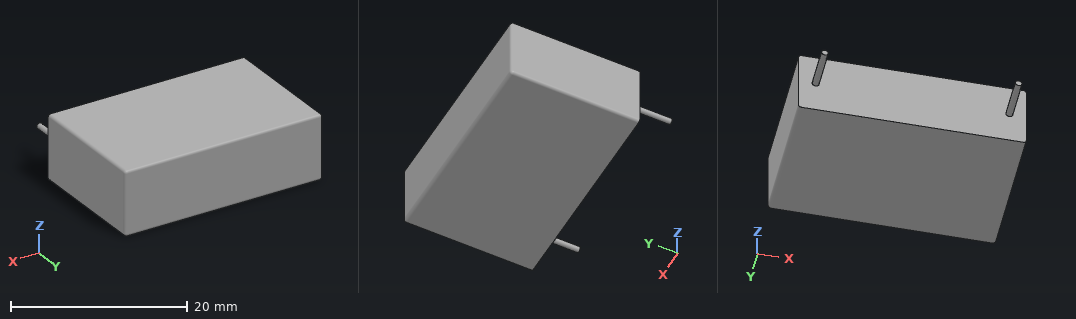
import cadquery as cq

housing_width = 26.5
housing_depth = 16.5
housing_height = 8.5
edge_radius = 0.4

overall_depth = 21.5
lead_length = overall_depth - housing_depth
lead_diameter = 0.8
lead_pitch = 22.5


def make_housing():
    """Box centred on X and Z, front face on Y = 0; all edges rounded except those of the front face."""
    box = cq.Workplane("XY").box(
        housing_width, housing_depth, housing_height, centered=(True, False, True)
    )
    return box.edges("not <Y").fillet(edge_radius)


def make_lead(x):
    """Straight round wire that starts on the front face and runs toward -Y."""
    return cq.Workplane("XZ").center(x, 0).circle(lead_diameter / 2).extrude(lead_length)


housing = make_housing()
leads = [make_lead(side * lead_pitch / 2) for side in (-1, 1)]

result = cq.Compound.makeCompound([housing.val(), *[lead.val() for lead in leads]])